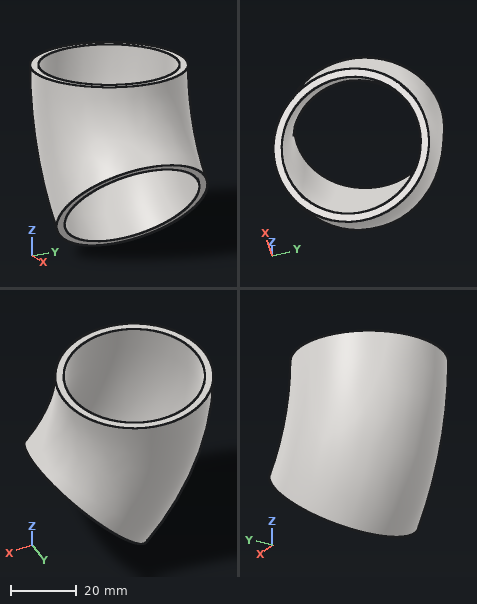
import cadquery as cq
import math

overall_length = 57.9
outer_diameter = 48.3
wall = 2.6
bend_angle = 45.0

outer_radius = outer_diameter / 2
inner_radius = outer_radius - wall

bend_cosine = math.cos(math.radians(bend_angle))
bend_radius = (overall_length - outer_radius * (1 + bend_cosine)) / (1 - bend_cosine)

result = (
    cq.Workplane("XY")
    .circle(outer_radius)
    .circle(inner_radius)
    .revolve(bend_angle, (bend_radius, 0), (bend_radius, -1))
)